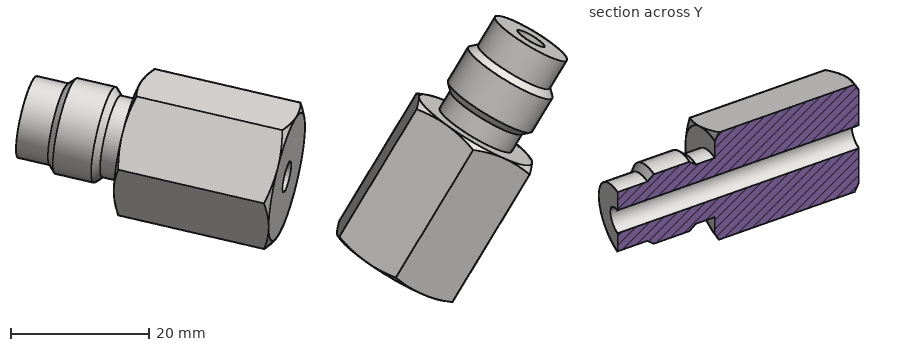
import cadquery as cq
import math

TOTAL_LENGTH = 39.12
HEX_ACROSS_FLATS = 19.05
HEX_LENGTH = 23.37
HEX_CHAMFER_ANGLE = 25.0
SHANK_DIAMETER = 12.2
COLLAR_DIAMETER = 14.29
COLLAR_START = 4.83
COLLAR_LENGTH = 7.87
BORE_DIAMETER = 4.6

HEX_SIDES = 6
HEX_START = TOTAL_LENGTH - HEX_LENGTH
HEX_ACROSS_CORNERS = HEX_ACROSS_FLATS / math.cos(math.pi / HEX_SIDES)
FLAT_RADIUS = HEX_ACROSS_FLATS / 2
CORNER_RADIUS = HEX_ACROSS_CORNERS / 2
HEX_CHAMFER_LENGTH = (CORNER_RADIUS - FLAT_RADIUS) * math.tan(math.radians(HEX_CHAMFER_ANGLE))
COLLAR_CHAMFER = (COLLAR_DIAMETER - SHANK_DIAMETER) / 2


def cylinder(diameter, start, length):
    """Solid cylinder along +X beginning at X = start."""
    return cq.Workplane("YZ", origin=(start, 0, 0)).circle(diameter / 2).extrude(length)


def hex_body():
    """Hexagon with corners at +Z and -Z, both ends turned to a shallow cone."""
    prism = (
        cq.Workplane("YZ", origin=(HEX_START, 0, 0))
        .polygon(HEX_SIDES, HEX_ACROSS_CORNERS)
        .extrude(HEX_LENGTH)
        .rotate((0, 0, 0), (1, 0, 0), 90)
    )
    envelope = (
        cq.Workplane("XY")
        .moveTo(HEX_START, 0)
        .lineTo(HEX_START, FLAT_RADIUS)
        .lineTo(HEX_START + HEX_CHAMFER_LENGTH, CORNER_RADIUS)
        .lineTo(TOTAL_LENGTH - HEX_CHAMFER_LENGTH, CORNER_RADIUS)
        .lineTo(TOTAL_LENGTH, FLAT_RADIUS)
        .lineTo(TOTAL_LENGTH, 0)
        .close()
        .revolve(360, (0, 0, 0), (1, 0, 0))
    )
    return prism.intersect(envelope)


def collar():
    """Raised ring on the shank, chamfered at both ends."""
    ring = cylinder(COLLAR_DIAMETER, COLLAR_START, COLLAR_LENGTH)
    return ring.faces("<X or >X").chamfer(COLLAR_CHAMFER)


shank = cylinder(SHANK_DIAMETER, 0, HEX_START)
bore = cylinder(BORE_DIAMETER, 0, TOTAL_LENGTH)

result = hex_body().union(shank).union(collar()).cut(bore)